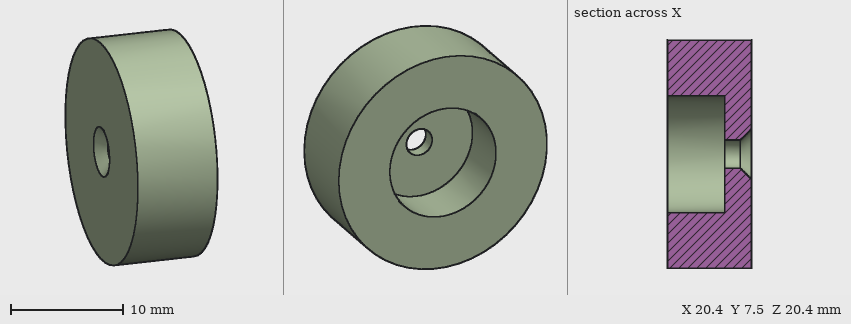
import cadquery as cq

disc_diameter = 20.4
disc_thickness = 7.5
hole_diameter = 2.5
countersink_diameter = 4.5
countersink_angle = 90.0
recess_diameter = 10.4
recess_depth = 5.1

disc = cq.Workplane("XZ").circle(disc_diameter / 2).extrude(disc_thickness)

drilled_disc = disc.faces("<Y").workplane().cskHole(hole_diameter, countersink_diameter, countersink_angle)

recess = cq.Workplane("XZ").circle(recess_diameter / 2).extrude(recess_depth)
result = drilled_disc.cut(recess)